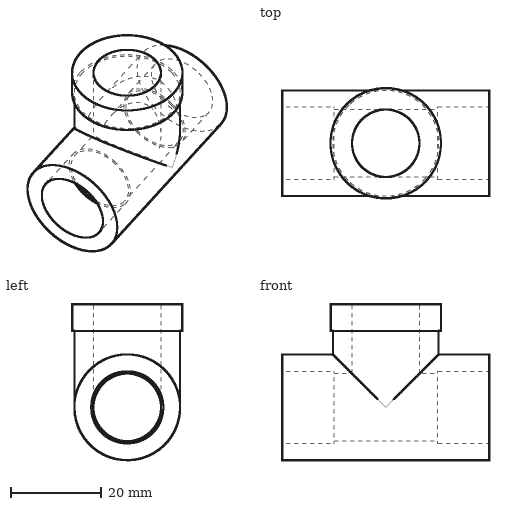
import cadquery as cq

run_length = 46.0
pipe_diameter = 23.5
run_bore_diameter = 15.0
socket_diameter = 16.0
socket_depth = 11.5

overall_height = 34.65
branch_height = overall_height - pipe_diameter / 2
branch_bore_diameter = 14.95
collar_diameter = 24.5
collar_height = 5.95


def cylinder_x(diameter, start, length):
    """Cylinder along X, beginning at x = start."""
    return cq.Workplane("YZ", origin=(start, 0, 0)).circle(diameter / 2).extrude(length)


def cylinder_z(diameter, start, length):
    """Cylinder along Z, beginning at z = start."""
    return cq.Workplane("XY", origin=(0, 0, start)).circle(diameter / 2).extrude(length)


run_start = -run_length / 2
body = cylinder_x(pipe_diameter, run_start, run_length)
body = body.union(cylinder_z(pipe_diameter, 0, branch_height))
body = body.union(cylinder_z(collar_diameter, branch_height - collar_height, collar_height))

body = body.cut(cylinder_x(run_bore_diameter, run_start, run_length))
body = body.cut(cylinder_z(branch_bore_diameter, 0, branch_height))

for socket_start in (run_start, -run_start - socket_depth):
    body = body.cut(cylinder_x(socket_diameter, socket_start, socket_depth))

result = body